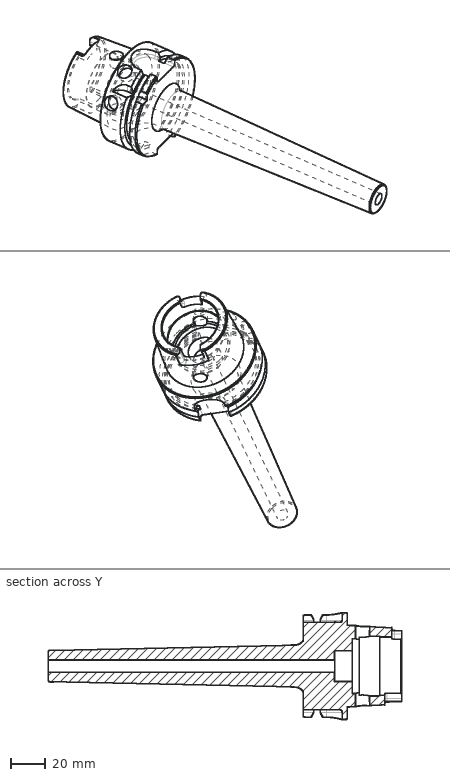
import cadquery as cq
import math


shank_length = 32.0
shank_base_radius = 24.1
shank_slope = 0.05
shank_tip_radius = shank_base_radius - shank_slope * shank_length
shank_chamfer = 0.6
cross_hole_x = 23.0
cross_hole_diameter = 8.1

flange_diameter = 63.0
flange_radius = flange_diameter / 2
flange_end_x = 58.0
flange_chamfer = 0.6
flange_end_chamfer_length = 1.0
flange_end_chamfer_depth = 0.5
groove_start_x = 46.5
groove_end_x = 53.2
groove_bevel_length = 1.5
groove_bevel_depth = 2.7
groove_radius = 26.8

arbor_end_x = 208.0
arbor_root_x = 62.8
arbor_root_radius = 12.5
arbor_tip_radius = 9.4
arbor_chamfer = 0.6
root_fillet_radius = 5.6

mouth_chamfer = 0.52
mouth_radius = 17.0
mouth_depth = 13.0
clamp_recess_radius = 17.5
clamp_recess_depth = 25.0
bore_floor_radius = 16.0
bore_floor_depth = 29.1
tube_radius = 9.0
tube_depth = 39.5
coolant_radius = 3.5

notch_width = 12.5
upper_notch_depth = 5.8
lower_notch_depth = 10.0
notch_floor_fillet = 1.2
notch_edge_radius = 1.9

slot_center_x = 44.3
slot_radius = 9.2
slot_floor_height = 25.8
slot_fillet = 1.2

corner_offset = 19.8
corner_end_x = 43.9
corner_end_radius = 8.0
pocket_x = 38.0
pocket_diameter = 8.7
pocket_floor_radius = 26.8
pocket_angles = (26, 64)


def make_body():
    """Revolve the outer profile."""
    bevel_radius = flange_radius - groove_bevel_depth
    root_run = arbor_root_x - flange_end_x
    root_angle = math.asin(root_run / root_fillet_radius)
    root_center_radius = arbor_root_radius + root_fillet_radius
    root_face_radius = root_center_radius - root_fillet_radius * math.cos(root_angle)
    root_middle = (
        arbor_root_x - root_fillet_radius * math.sin(root_angle / 2),
        root_center_radius - root_fillet_radius * math.cos(root_angle / 2),
    )
    profile = (
        cq.Workplane("XY")
        .lineTo(0, shank_tip_radius - shank_chamfer)
        .lineTo(shank_chamfer, shank_tip_radius + shank_slope * shank_chamfer)
        .lineTo(shank_length, shank_base_radius)
        .lineTo(shank_length, flange_radius - flange_chamfer)
        .lineTo(shank_length + flange_chamfer, flange_radius)
        .lineTo(groove_start_x, flange_radius)
        .lineTo(groove_start_x + groove_bevel_length, bevel_radius)
        .lineTo(groove_start_x + groove_bevel_length, groove_radius)
        .lineTo(groove_end_x - groove_bevel_length, groove_radius)
        .lineTo(groove_end_x - groove_bevel_length, bevel_radius)
        .lineTo(groove_end_x, flange_radius)
        .lineTo(flange_end_x - flange_end_chamfer_length, flange_radius)
        .lineTo(flange_end_x, flange_radius - flange_end_chamfer_depth)
        .lineTo(flange_end_x, root_face_radius)
        .threePointArc(root_middle, (arbor_root_x, arbor_root_radius))
        .lineTo(arbor_end_x - arbor_chamfer, arbor_tip_radius)
        .lineTo(arbor_end_x, arbor_tip_radius - arbor_chamfer)
        .lineTo(arbor_end_x, 0)
        .close()
    )
    return profile.revolve(360, (0, 0, 0), (1, 0, 0))


def make_bore():
    """Revolve the stepped bore that runs through the whole part."""
    profile = (
        cq.Workplane("XY")
        .lineTo(0, mouth_radius + mouth_chamfer)
        .lineTo(mouth_chamfer, mouth_radius)
        .lineTo(mouth_depth, mouth_radius)
        .lineTo(mouth_depth, clamp_recess_radius)
        .lineTo(clamp_recess_depth, clamp_recess_radius)
        .lineTo(clamp_recess_depth, bore_floor_radius)
        .lineTo(bore_floor_depth, bore_floor_radius)
        .lineTo(bore_floor_depth, tube_radius)
        .lineTo(tube_depth, tube_radius)
        .lineTo(tube_depth, coolant_radius)
        .lineTo(arbor_end_x, coolant_radius)
        .lineTo(arbor_end_x, 0)
        .close()
    )
    return profile.revolve(360, (0, 0, 0), (1, 0, 0))


def make_drive_notch(depth):
    """Notch at +Z in the open end, with rounded outer edges and a filleted floor."""
    half = notch_width / 2
    center_radius = shank_tip_radius - notch_edge_radius
    center_y = half + notch_edge_radius
    center_z = math.sqrt(center_radius ** 2 - center_y ** 2)
    tangent_scale = shank_tip_radius / center_radius
    tangent_y = center_y * tangent_scale
    tangent_z = center_z * tangent_scale
    middle_angle = (math.pi + math.atan2(center_z, center_y)) / 2
    middle_y = center_y + notch_edge_radius * math.cos(middle_angle)
    middle_z = center_z + notch_edge_radius * math.sin(middle_angle)
    return (
        cq.Workplane("YZ")
        .moveTo(-half, 0)
        .lineTo(-half, center_z)
        .threePointArc((-middle_y, middle_z), (-tangent_y, tangent_z))
        .lineTo(-tangent_y, shank_base_radius)
        .lineTo(tangent_y, shank_base_radius)
        .lineTo(tangent_y, tangent_z)
        .threePointArc((middle_y, middle_z), (half, center_z))
        .lineTo(half, 0)
        .close()
        .extrude(depth)
        .faces(">X")
        .edges()
        .filter(lambda edge: 0 < edge.Center().z < tangent_z)
        .fillet(notch_floor_fillet)
    )


def make_drive_slot():
    """Round-ended slot at +Z, open toward the arbor, with a filleted floor."""
    length = flange_end_x + slot_radius - slot_center_x
    height = flange_radius - slot_floor_height
    straight = cq.Workplane("XY").box(length, 2 * slot_radius, height, centered=(False, True, False))
    return (
        cq.Workplane("XY")
        .circle(slot_radius)
        .extrude(height)
        .union(straight)
        .faces("<Z")
        .edges("not >X")
        .fillet(slot_fillet)
        .translate((slot_center_x, 0, slot_floor_height))
    )


def make_orientation_notch():
    """Right-angled notch at the -Y, +Z corner of the flange, milled along Z."""
    plane = cq.Workplane(
        "XY", origin=(corner_end_x, -corner_offset - corner_end_radius, corner_offset)
    )
    straight_length = flange_end_x - corner_end_x
    straight = plane.box(
        straight_length, 2 * corner_end_radius, flange_radius, centered=(False, True, False)
    )
    return plane.circle(corner_end_radius).extrude(flange_radius).union(straight)


def make_pocket(angle):
    """Flat-bottomed radial hole in the flange rim."""
    return (
        cq.Workplane("XY", origin=(pocket_x, 0, pocket_floor_radius))
        .circle(pocket_diameter / 2)
        .extrude(flange_radius)
        .rotate((0, 0, 0), (1, 0, 0), 90 - angle)
    )


def turned_over(tool):
    """Move a cutter from the +Z side to the -Z side."""
    return tool.rotate((0, 0, 0), (1, 0, 0), 180)


cross_hole = (
    cq.Workplane("XY", origin=(cross_hole_x, 0, 0))
    .circle(cross_hole_diameter / 2)
    .extrude(shank_base_radius, both=True)
)

result = (
    make_body()
    .cut(make_bore())
    .cut(cross_hole)
    .cut(make_drive_notch(upper_notch_depth))
    .cut(turned_over(make_drive_notch(lower_notch_depth)))
    .cut(make_drive_slot())
    .cut(turned_over(make_drive_slot()))
    .cut(make_orientation_notch())
)
for pocket_angle in pocket_angles:
    result = result.cut(make_pocket(pocket_angle))